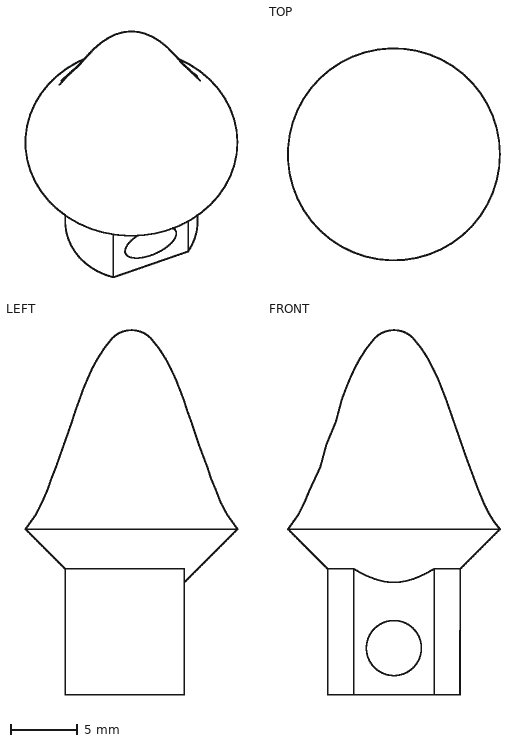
import cadquery as cq
import math

total_height = 27.5
rim_radius = 8.0
rim_height = 12.48

shaft_radius = 5.0
shaft_height = rim_height - (rim_radius - shaft_radius)
flat_offset = 4.0

hole_diameter = 4.15
hole_height = 3.52
hole_depth = flat_offset

cone_bottom_radius = flat_offset
cone_bottom_height = rim_height - (rim_radius - cone_bottom_radius)

tip_radius = 2.04
tip_angle = 45


def tip_point(angle):
    """Point (radius, height) on the tip sphere, at an angle in degrees from the axis."""
    turn = math.radians(angle)
    return tip_radius * math.sin(turn), total_height - tip_radius * (1 - math.cos(turn))


dome_profile = [
    (7.5, 13.12),
    (7.0, 13.97),
    (6.0, 16.45),
    (5.1, 18.92),
    (4.24, 21.42),
    (3.3, 23.9),
    (2.5, 25.46),
    tip_point(tip_angle),
]


def make_head():
    """Revolve the dome and the cone below it as one body."""
    return (
        cq.Workplane("XZ")
        .moveTo(0, cone_bottom_height)
        .lineTo(cone_bottom_radius, cone_bottom_height)
        .lineTo(rim_radius, rim_height)
        .spline(dome_profile, includeCurrent=True)
        .threePointArc(tip_point(tip_angle / 2), (0, total_height))
        .close()
        .revolve(360, (0, 0, 0), (0, 1, 0))
    )


def make_shaft():
    """Round shaft, trimmed to a flat on the -Y side."""
    shaft = cq.Workplane("XY").circle(shaft_radius).extrude(shaft_height)
    trim = cq.Workplane("XY").box(
        2 * shaft_radius, shaft_radius, shaft_height, centered=(True, False, False)
    )
    return shaft.cut(trim.translate((0, -flat_offset - shaft_radius, 0)))


def make_hole():
    """Cylinder running from the flat into the shaft."""
    return (
        cq.Workplane("XZ", origin=(0, -flat_offset, hole_height))
        .circle(hole_diameter / 2)
        .extrude(-hole_depth)
    )


result = make_shaft().union(make_head()).cut(make_hole())